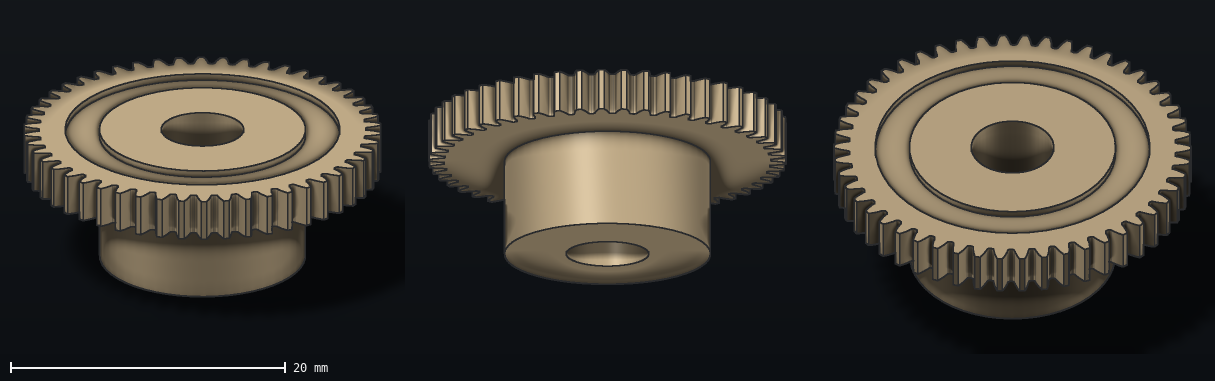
import cadquery as cq
import math

outer_diameter = 26.0
tooth_count = 50
pressure_angle = math.radians(20)
dedendum_factor = 1.25
root_fillet_factor = 0.38

module = outer_diameter / (tooth_count + 2)
outer_radius = outer_diameter / 2
pitch_radius = module * tooth_count / 2
root_fillet = root_fillet_factor * module
root_radius = pitch_radius - dedendum_factor * module
base_radius = pitch_radius * math.cos(pressure_angle)
tooth_pitch = 2 * math.pi / tooth_count

total_height = 10.0
gear_width = 3.0
hub_diameter = 15.0
bore_diameter = 6.0
recess_diameter = 20.0
recess_depth = 0.5


def polar(radius, angle):
    return (radius * math.cos(angle), radius * math.sin(angle))


def involute(angle):
    return math.tan(angle) - angle


def half_tooth_angle(radius):
    """Angle from the tooth centre line to its involute flank at a radius."""
    flank_angle = math.acos(base_radius / radius)
    return tooth_pitch / 4 + involute(pressure_angle) - involute(flank_angle)


def make_gear_blank():
    """Toothed disc with one tooth centred on +X, standing on the XY plane."""
    root_half = half_tooth_angle(root_radius)
    pitch_half = half_tooth_angle(pitch_radius)
    tip_half = half_tooth_angle(outer_radius)

    outline = cq.Workplane("XY").moveTo(*polar(root_radius, -root_half))
    for tooth in range(tooth_count):
        centre = tooth * tooth_pitch
        next_root = centre + tooth_pitch - root_half
        outline = (
            outline
            .threePointArc(polar(pitch_radius, centre - pitch_half), polar(outer_radius, centre - tip_half))
            .threePointArc(polar(outer_radius, centre), polar(outer_radius, centre + tip_half))
            .threePointArc(polar(pitch_radius, centre + pitch_half), polar(root_radius, centre + root_half))
            .threePointArc(polar(root_radius, centre + tooth_pitch / 2), polar(root_radius, next_root))
        )
    blank = outline.close().extrude(gear_width)

    def at_root(edge):
        position = edge.Center()
        return math.hypot(position.x, position.y) < pitch_radius

    root_edges = [edge for edge in blank.edges("|Z").vals() if at_root(edge)]
    return blank.newObject(root_edges).fillet(root_fillet)


def make_recess():
    """Shallow ring between the toothed rim and the hub, open at the top face."""
    return (
        cq.Workplane("XY", origin=(0, 0, total_height - recess_depth))
        .circle(recess_diameter / 2)
        .circle(hub_diameter / 2)
        .extrude(recess_depth)
    )


gear_blank = make_gear_blank().translate((0, 0, total_height - gear_width))
hub = cq.Workplane("XY").circle(hub_diameter / 2).extrude(total_height)
bore = cq.Workplane("XY").circle(bore_diameter / 2).extrude(total_height)

result = gear_blank.union(hub).cut(make_recess()).cut(bore)